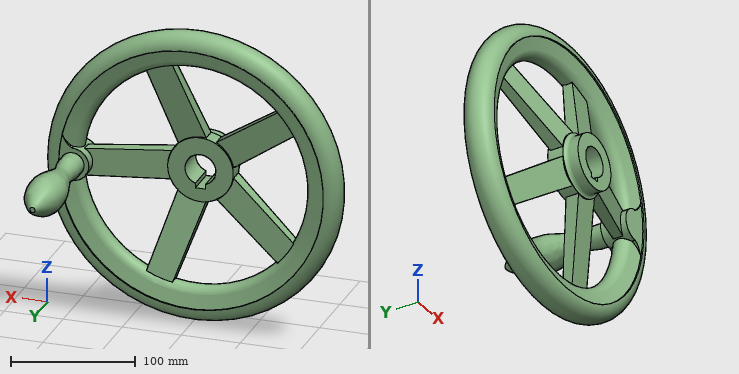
import cadquery as cq
import math

OUTER_RADIUS = 125.0
OVERALL_DEPTH = 147.5

RIM_CREST_RADIUS = 112.0
RIM_HALF_WIDTH = 13.2
RIM_MID_Y = 37.2
RIM_FRONT_Y = RIM_MID_Y - RIM_HALF_WIDTH
RIM_BACK_Y = RIM_MID_Y + RIM_HALF_WIDTH
CREST_STEP = 1.2
NOSE_START_RADIUS = 100.8
NOSE_HALF_WIDTH = 8.5
RIM_INNER_RADIUS = 95.0

COLLAR_RADIUS = 24.5
COLLAR_LENGTH = 8.2
HUB_RADIUS = 27.8
HUB_FLARE_Y = 12.2
HUB_BACK_Y = 26.8
BORE_RADIUS = 13.0
KEYWAY_WIDTH = 8.5
KEYWAY_DEPTH = 16.2

SPOKE_COUNT = 5
SPOKE_START_RADIUS = 20.0
SPOKE_END_RADIUS = 100.0
SPOKE_START_WIDTH = 25.0
SPOKE_END_WIDTH = 23.2
SPOKE_START_Y = 11.0
SPOKE_SLOPE = 0.29
SPOKE_START_THICKNESS = 12.2
SPOKE_END_THICKNESS = 8.8

HANDLE_X = 100.8
BOSS_RADIUS = 14.0
FLARE_START_X = HANDLE_X
FLARE_MID = (106.5, 19.2)
FLARE_END = (109.2, 26.0)
HANDLE_BASE_RADIUS = 10.0
HANDLE_BASE_END_Y = 60.5
NECK_RADIUS = 8.2
NECK_Y = 72.5
GRIP_START_RADIUS = 11.5
GRIP_START_Y = 89.2
GRIP_MAX_RADIUS = 16.0
GRIP_MAX_Y = 111.5
GRIP_TAPER_RADIUS = 14.0
GRIP_TAPER_Y = 127.5
GRIP_START_SLOPE = 0.27
TIP_RADIUS = 4.8
TIP_START_Y = 144.8
TIP_SLOPE = 0.6
TIP_FLAT_RADIUS = 2.2


def revolve_about_y(profile):
    """Revolve a profile of (radius, Y) points about the Y axis."""
    return profile.close().revolve(360, (0, 0, 0), (0, 1, 0))


def make_rim():
    """Round outer half, dished faces and a rounded inner nose."""
    shoulder = RIM_HALF_WIDTH - CREST_STEP
    return revolve_about_y(
        cq.Workplane("XY")
        .moveTo(RIM_CREST_RADIUS, RIM_FRONT_Y)
        .threePointArc((OUTER_RADIUS, RIM_MID_Y), (RIM_CREST_RADIUS, RIM_BACK_Y))
        .lineTo(RIM_CREST_RADIUS, RIM_MID_Y + shoulder)
        .lineTo(NOSE_START_RADIUS, RIM_MID_Y + NOSE_HALF_WIDTH)
        .threePointArc(
            (RIM_INNER_RADIUS, RIM_MID_Y),
            (NOSE_START_RADIUS, RIM_MID_Y - NOSE_HALF_WIDTH),
        )
        .lineTo(RIM_CREST_RADIUS, RIM_MID_Y - shoulder)
    )


def make_hub():
    """Solid hub with a concave flare behind its front collar."""
    flare_width = HUB_RADIUS - COLLAR_RADIUS
    flare_length = HUB_FLARE_Y - COLLAR_LENGTH
    bulge = 1 - math.sqrt(0.5)
    flare_mid = (
        COLLAR_RADIUS + flare_width * bulge,
        HUB_FLARE_Y - flare_length * bulge,
    )
    return revolve_about_y(
        cq.Workplane("XY")
        .lineTo(COLLAR_RADIUS, 0)
        .lineTo(COLLAR_RADIUS, COLLAR_LENGTH)
        .threePointArc(flare_mid, (HUB_RADIUS, HUB_FLARE_Y))
        .lineTo(HUB_RADIUS, HUB_BACK_Y)
        .lineTo(0, HUB_BACK_Y)
    )


def make_spoke():
    """Spoke along +X, narrowing and thinning as it slopes back to the rim."""
    end_y = SPOKE_START_Y + SPOKE_SLOPE * (SPOKE_END_RADIUS - SPOKE_START_RADIUS)
    side = [
        (SPOKE_START_RADIUS, SPOKE_START_Y),
        (SPOKE_END_RADIUS, end_y),
        (SPOKE_END_RADIUS, end_y + SPOKE_END_THICKNESS),
        (SPOKE_START_RADIUS, SPOKE_START_Y + SPOKE_START_THICKNESS),
    ]
    face = [
        (SPOKE_START_RADIUS, -SPOKE_START_WIDTH / 2),
        (SPOKE_END_RADIUS, -SPOKE_END_WIDTH / 2),
        (SPOKE_END_RADIUS, SPOKE_END_WIDTH / 2),
        (SPOKE_START_RADIUS, SPOKE_START_WIDTH / 2),
    ]
    slab = cq.Workplane("XY").polyline(side).close().extrude(SPOKE_START_WIDTH / 2, both=True)
    outline = cq.Workplane("XZ").polyline(face).close().extrude(-RIM_BACK_Y)
    return slab.intersect(outline)


def make_boss():
    """Round boss through the rim, flaring outward into the rim crest."""
    front_y = RIM_FRONT_Y + CREST_STEP
    back_y = RIM_BACK_Y - CREST_STEP
    flare_end_x, flare_end_z = FLARE_END
    flare_mid_x, flare_mid_z = FLARE_MID
    return (
        cq.Workplane("XZ", origin=(0, front_y, 0))
        .moveTo(FLARE_START_X, -BOSS_RADIUS)
        .threePointArc((HANDLE_X - BOSS_RADIUS, 0), (FLARE_START_X, BOSS_RADIUS))
        .threePointArc((flare_mid_x, flare_mid_z), (flare_end_x, flare_end_z))
        .threePointArc((RIM_CREST_RADIUS, 0), (flare_end_x, -flare_end_z))
        .threePointArc((flare_mid_x, -flare_mid_z), (FLARE_START_X, -BOSS_RADIUS))
        .close()
        .extrude(-(back_y - front_y))
    )


def make_handle():
    """Turned handle: plain base, waisted neck and bulbous grip."""
    grip_tangent = (GRIP_START_SLOPE, 1)
    handle = revolve_about_y(
        cq.Workplane("XY")
        .moveTo(0, RIM_MID_Y)
        .lineTo(HANDLE_BASE_RADIUS, RIM_MID_Y)
        .lineTo(HANDLE_BASE_RADIUS, HANDLE_BASE_END_Y)
        .spline(
            [(NECK_RADIUS, NECK_Y), (GRIP_START_RADIUS, GRIP_START_Y)],
            tangents=[(-GRIP_START_SLOPE, 1), grip_tangent],
            includeCurrent=True,
        )
        .spline(
            [
                (GRIP_MAX_RADIUS, GRIP_MAX_Y),
                (GRIP_TAPER_RADIUS, GRIP_TAPER_Y),
                (TIP_RADIUS, TIP_START_Y),
            ],
            tangents=[grip_tangent, (-TIP_SLOPE, 1)],
            includeCurrent=True,
        )
        .lineTo(TIP_FLAT_RADIUS, OVERALL_DEPTH)
        .lineTo(0, OVERALL_DEPTH)
    )
    return handle.translate((HANDLE_X, 0, 0))


def make_bore():
    """Through bore with a keyway on its -Z side."""
    bore = cq.Workplane("XZ").circle(BORE_RADIUS).extrude(-HUB_BACK_Y)
    keyway = (
        cq.Workplane("XZ")
        .center(0, -KEYWAY_DEPTH / 2)
        .rect(KEYWAY_WIDTH, KEYWAY_DEPTH)
        .extrude(-HUB_BACK_Y)
    )
    return bore.union(keyway)


result = make_rim().union(make_hub())
spoke = make_spoke()
for index in range(SPOKE_COUNT):
    angle = index * 360 / SPOKE_COUNT
    result = result.union(spoke.rotate((0, 0, 0), (0, 1, 0), angle))
result = result.union(make_boss()).union(make_handle()).cut(make_bore())